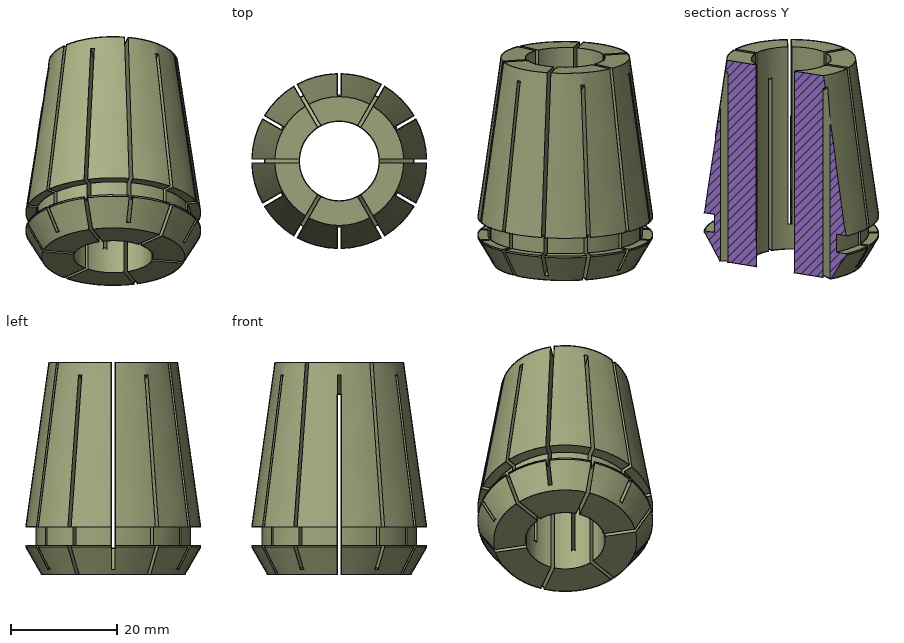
import cadquery as cq
import math

length = 40.0
max_diameter = 33.0
bore_diameter = 15.0
taper_angle = 8.0
nose_angle = 30.0

groove_bottom = 5.5
groove_top = 9.0
groove_diameter = 29.2
rim_land = 0.3

slit_width = 0.7
slits_per_end = 6
saw_radius = 24.0
upper_slit_floor_outside = 1.0
upper_slit_floor_at_bore = 5.0
lower_slit_roof_outside = 37.7
lower_slit_roof_at_bore = 34.0

max_radius = max_diameter / 2
bore_radius = bore_diameter / 2
groove_radius = groove_diameter / 2
nose_top = groove_bottom - rim_land
nose_slope = math.tan(math.radians(nose_angle))
taper_slope = math.tan(math.radians(taper_angle))
cut_margin = 2.0


def nose_radius(z):
    return max_radius - (nose_top - z) * nose_slope


def taper_radius(z):
    return max_radius - (z - groove_top) * taper_slope


def make_body():
    """Revolve the half section around Z."""
    section = [
        (bore_radius, 0),
        (nose_radius(0), 0),
        (max_radius, nose_top),
        (max_radius, groove_bottom),
        (groove_radius, groove_bottom),
        (groove_radius, groove_top),
        (max_radius, groove_top),
        (taper_radius(length), length),
        (bore_radius, length),
    ]
    return cq.Workplane("XZ").polyline(section).close().revolve(360, (0, 0, 0), (0, 1, 0))


def make_slit(open_z, outside_radius, outside_z, bore_z):
    """Radial slit along +X, open at open_z, with its blind end a saw arc from the outside down to the bore."""
    far = max_radius + cut_margin
    arc_radius = math.copysign(saw_radius, open_z - bore_z)
    return (
        cq.Workplane("XZ")
        .moveTo(0, open_z)
        .lineTo(far, open_z)
        .lineTo(far, outside_z)
        .lineTo(outside_radius, outside_z)
        .radiusArc((bore_radius, bore_z), arc_radius)
        .lineTo(0, bore_z)
        .close()
        .extrude(slit_width / 2, both=True)
    )


upper_slit = make_slit(
    length + cut_margin,
    nose_radius(upper_slit_floor_outside),
    upper_slit_floor_outside,
    upper_slit_floor_at_bore,
)
lower_slit = make_slit(
    -cut_margin,
    taper_radius(lower_slit_roof_outside),
    lower_slit_roof_outside,
    lower_slit_roof_at_bore,
)

result = make_body()
pitch = 360 / slits_per_end
for i in range(slits_per_end):
    angle = i * pitch
    result = result.cut(upper_slit.rotate((0, 0, 0), (0, 0, 1), angle))
    result = result.cut(lower_slit.rotate((0, 0, 0), (0, 0, 1), angle + pitch / 2))